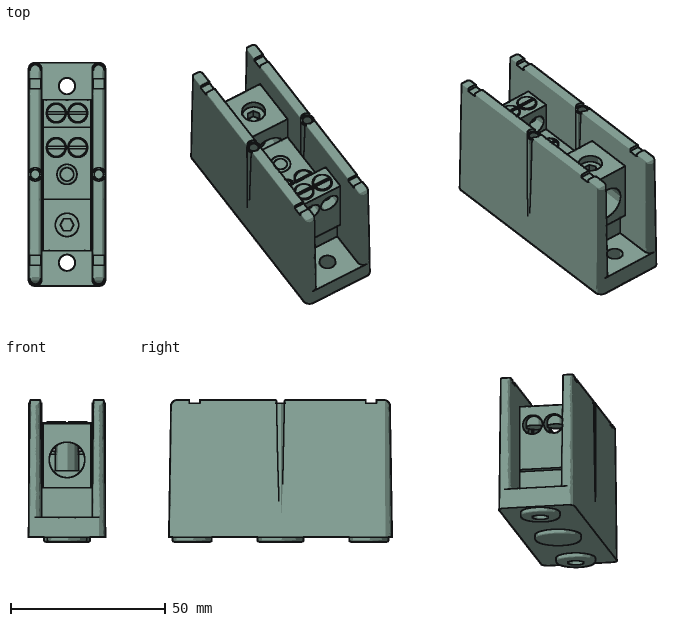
import cadquery as cq
import math

base_width = 25.0
base_length = 72.36
housing_height = 44.45
base_thickness = 6.4
side_draft = 0.5
end_draft = 0.7
wall_thickness = 4.44
wall_offset = (base_width - wall_thickness) / 2
wall_end_round = 2.3
wall_end_inset = 2.2
rail_fillet = 0.6

boss_radius = 2.148
boss_hole_radius = 1.54
boss_hole_depth = 10.0
notch_depth = 1.1
notch_length = 3.35
notch_centres = (29.35, -27.8)

pedestal_length = 43.2
pedestal_top = 16.0
foot_height = 1.59
foot_fillet = 0.7
centre_foot_radius = 7.5
end_foot_radius = 6.4
mount_spacing = 57.2
mount_hole_radius = 2.6

block_width = 15.44
front_block_start = -24.7
front_block_end = -8.0
rear_block_start = 15.2
rear_block_end = 24.15
front_block_top = 36.7
step_top = 26.9
rear_block_top = 37.1
cable_bore_radius = 5.75
cable_bore_height = 25.0
wire_bore_radius = 3.2
wire_bore_height = 30.9

screw_spacing = 6.95
screw_radius = 2.9
screw_length = 6.0
rear_screw_projection = 0.3
slot_width = 0.8
slot_depth = 0.8
countersink_radius = 3.2
countersink_depth = 0.5
rear_screw_y = 19.87
step_screw_y = 8.7

set_screw_y = -16.35
set_screw_radius = 3.78
set_screw_top = 34.2
set_screw_bottom = 21.4
hex_across_flats = 3.85
hex_depth = 3.0

rivet_radius = 3.25
rivet_rim_radius = 0.55


def box_between(x_range, y_range, z_range):
    """Axis-aligned box spanning the given (low, high) ranges."""
    size = [high - low for low, high in (x_range, y_range, z_range)]
    corner = (x_range[0], y_range[0], z_range[0])
    return cq.Workplane("XY").box(*size, centered=False).translate(corner)


def cylinder(radius, x, y, bottom, top):
    """Upright cylinder between two heights."""
    return cq.Workplane("XY", origin=(x, y, bottom)).circle(radius).extrude(top - bottom)


def drafted_length(z):
    return base_length - 2 * end_draft * z / housing_height


def drafted_wall(z):
    return wall_thickness - 2 * side_draft * z / housing_height


def wall_section(z):
    """Round-ended outline of a wall at one height."""
    thickness = drafted_wall(z)
    return cq.Sketch().slot(drafted_length(z) - thickness, thickness, angle=90)


def wall_profile():
    """Prism with rounded upper corners; its sides clear the wall ends up to the rounding."""
    flat_y = drafted_length(housing_height) / 2 - wall_end_inset
    bend_y = flat_y + wall_end_round
    bend = housing_height - wall_end_round
    outer = base_length / 2 + wall_end_round
    return (
        cq.Workplane("YZ")
        .moveTo(-outer, 0)
        .lineTo(outer, 0)
        .lineTo(outer, bend)
        .lineTo(bend_y, bend)
        .radiusArc((flat_y, housing_height), -wall_end_round)
        .lineTo(-flat_y, housing_height)
        .radiusArc((-bend_y, bend), -wall_end_round)
        .lineTo(-outer, bend)
        .close()
        .extrude(base_width, both=True)
    )


def make_wall():
    """One side wall, centred on X = 0."""
    top_section = wall_section(housing_height).moved(cq.Location(cq.Vector(0, 0, housing_height)))
    wall = cq.Workplane("XY").placeSketch(wall_section(0), top_section).loft()
    wall = wall.intersect(wall_profile())
    wall = wall.faces(">Z").edges("|Y").fillet(rail_fillet)
    notch_floor = housing_height - notch_depth
    reach = (-wall_thickness, wall_thickness)
    for centre in notch_centres:
        span = (centre - notch_length / 2, centre + notch_length / 2)
        wall = wall.cut(box_between(reach, span, (notch_floor, housing_height)))
    wall = wall.cut(cylinder(boss_radius, 0, 0, notch_floor, housing_height))
    wall = wall.union(cylinder(boss_radius, 0, 0, 0, notch_floor))
    return wall.cut(cylinder(boss_hole_radius, 0, 0, notch_floor - boss_hole_depth, notch_floor))


def make_foot(radius, y):
    foot = cylinder(radius, 0, y, -foot_height, 0)
    return foot.faces("<Z").edges().fillet(foot_fillet)


def make_base_plate():
    """Plate with drafted ends, reaching to the middle of each wall."""
    foot_y = drafted_length(0) / 2
    top_y = drafted_length(base_thickness) / 2
    outline = [(-foot_y, 0), (foot_y, 0), (top_y, base_thickness), (-top_y, base_thickness)]
    return cq.Workplane("YZ").polyline(outline).close().extrude(wall_offset, both=True)


def make_housing():
    housing = make_base_plate()
    wall = make_wall()
    for side in (-1, 1):
        housing = housing.union(wall.translate((side * wall_offset, 0, 0)))
    housing = housing.union(
        box_between(
            (-wall_offset, wall_offset),
            (-pedestal_length / 2, pedestal_length / 2),
            (0, pedestal_top),
        )
    )
    housing = housing.union(make_foot(centre_foot_radius, 0))
    for y in (-mount_spacing / 2, mount_spacing / 2):
        housing = housing.union(make_foot(end_foot_radius, y))
        housing = housing.cut(cylinder(mount_hole_radius, 0, y, -foot_height, base_thickness))
    return housing


def screw_seats():
    """(x, y, surface height, projection) of the four slotted screws; the step row is flush."""
    rows = (
        (rear_screw_y, rear_block_top, rear_screw_projection),
        (step_screw_y, step_top, 0),
    )
    return [(side * screw_spacing / 2, *row) for row in rows for side in (-1, 1)]


def bore_along_y(radius, x, z, start, end):
    plane = cq.Plane(origin=(x, start, z), xDir=(1, 0, 0), normal=(0, 1, 0))
    return cq.Workplane(plane).circle(radius).extrude(end - start)


def make_terminal_block():
    profile = (
        cq.Workplane("YZ")
        .moveTo(front_block_start, pedestal_top)
        .lineTo(rear_block_end, pedestal_top)
        .lineTo(rear_block_end, rear_block_top)
        .lineTo(rear_block_start, rear_block_top)
        .lineTo(rear_block_start, step_top)
        .lineTo(front_block_end, step_top)
        .lineTo(front_block_end, front_block_top)
        .lineTo(front_block_start, front_block_top)
        .close()
    )
    block = profile.extrude(block_width / 2, both=True)
    block = block.cut(
        bore_along_y(cable_bore_radius, 0, cable_bore_height, front_block_start, front_block_end)
    )
    for side in (-1, 1):
        x = side * screw_spacing / 2
        block = block.cut(
            bore_along_y(wire_bore_radius, x, wire_bore_height, rear_block_start, rear_block_end)
        )
    for x, y, top, _ in screw_seats():
        block = block.cut(cylinder(screw_radius, x, y, top - screw_length, top))
        cone = cq.Solid.makeCone(
            screw_radius, countersink_radius, countersink_depth,
            pnt=cq.Vector(x, y, top - countersink_depth),
        )
        block = block.cut(cq.Workplane(cone))
    block = block.cut(
        cylinder(set_screw_radius, 0, set_screw_y, cable_bore_height, front_block_top)
    )
    return block.cut(cylinder(rivet_radius, 0, 0, pedestal_top, step_top))


def make_slotted_screw(x, y, surface, projection):
    top = surface + projection
    screw = cylinder(screw_radius, x, y, surface - screw_length, top)
    slot = box_between(
        (x - screw_radius, x + screw_radius),
        (y - slot_width / 2, y + slot_width / 2),
        (top - slot_depth, top),
    )
    return screw.cut(slot)


def make_set_screw():
    screw = cylinder(set_screw_radius, 0, set_screw_y, set_screw_bottom, set_screw_top)
    socket = (
        cq.Workplane("XY", origin=(0, set_screw_y, set_screw_top - hex_depth))
        .polygon(6, hex_across_flats / math.cos(math.pi / 6))
        .extrude(hex_depth)
    )
    return screw.cut(socket)


def make_rivet():
    """Shank filling the block hole, finished with a rolled half-round rim."""
    shank_length = step_top - pedestal_top
    half_profile = (
        cq.Workplane("XZ", origin=(0, 0, pedestal_top))
        .lineTo(rivet_radius, 0)
        .lineTo(rivet_radius, shank_length)
        .radiusArc((rivet_radius - 2 * rivet_rim_radius, shank_length), -rivet_rim_radius)
        .lineTo(0, shank_length)
        .close()
    )
    return half_profile.revolve(360, (0, 0, 0), (0, 1, 0))


housing = make_housing()
terminal_block = make_terminal_block()
slotted_screws = [make_slotted_screw(*seat) for seat in screw_seats()]
set_screw = make_set_screw()
rivet = make_rivet()

result = cq.Compound.makeCompound([
    housing.val(),
    terminal_block.val(),
    *[screw.val() for screw in slotted_screws],
    set_screw.val(),
    rivet.val(),
])